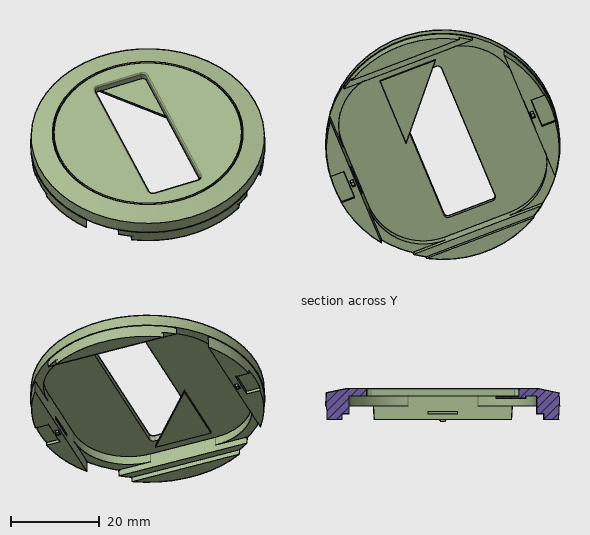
import cadquery as cq

total_height = 7.5
shoulder_height = 6.5
skirt_top = 3.5
skirt_bottom = 0.5
relief_top = 1.75
pocket_ceiling = 5.8

rim_radius = 26.5
shoulder_radius = 26.35
skirt_top_radius = 26.35
skirt_bottom_radius = 26.25
crown_radius = 21.55

groove_width = 0.4
groove_depth = 0.2

pocket_size = 42.3
relief_size = 45.45

cavity_corner = 13.25

window_length = 34.35
window_width = 12.4
window_corner = 0.95
window_edge_fillet = 0.3

gusset_side_y = -4.4
gusset_back_x = -4.7
gusset_thickness = 0.55
gusset_overlap = 1.6

notch_length = 6.7
notch_top = 1.25
notch_back = 22.8
nub_distance = 21.9
nub_thickness = 0.75
nub_root_length = 1.6
nub_tip_length = 0.85
bead_height = 2.0
bead_radius = 0.3
bead_projection = 0.15


def block(length, width, bottom, top, center_y=0):
    """Box centred on X = 0 between two heights."""
    return (
        cq.Workplane("XY", origin=(0, center_y, bottom))
        .rect(length, width)
        .extrude(top - bottom)
    )


def lid_blank():
    """Solid of revolution: drafted skirt, drafted rim, conical crown, ring groove and flat top."""
    outline = [
        (0, skirt_bottom),
        (skirt_bottom_radius, skirt_bottom),
        (skirt_top_radius, skirt_top),
        (rim_radius, skirt_top),
        (shoulder_radius, shoulder_height),
        (crown_radius, total_height),
        (crown_radius - groove_width / 2, total_height - groove_depth),
        (crown_radius - groove_width, total_height),
        (0, total_height),
    ]
    return cq.Workplane("XZ").polyline(outline).close().revolve(360, (0, 0), (0, 1))


def underside_pocket():
    """Square pocket whose corners run out through the skirt, with the relief and the cavity above."""
    square = block(pocket_size, pocket_size, skirt_bottom, skirt_top)
    relief = block(relief_size, pocket_size, skirt_bottom, relief_top)
    cavity = block(pocket_size, pocket_size, skirt_top, pocket_ceiling).edges("|Z").fillet(cavity_corner)
    return square.union(relief).union(cavity)


def corner_gusset():
    """Triangle under the plate whose long side crosses the window corner at -X, +Y."""
    side_x = -window_length / 2
    back_y = window_width / 2
    slope = (back_y - gusset_side_y) / (gusset_back_x - side_x)
    outer_x = side_x - gusset_overlap
    outer_y = back_y + gusset_overlap
    outline = [
        (outer_x, gusset_side_y - gusset_overlap * slope),
        (gusset_back_x + gusset_overlap / slope, outer_y),
        (outer_x, outer_y),
    ]
    return (
        cq.Workplane("XY", origin=(0, 0, pocket_ceiling))
        .polyline(outline)
        .close()
        .extrude(-gusset_thickness)
    )


def leg_notch(side):
    """Slot in the bottom of a leg, open to the outside."""
    depth = rim_radius - notch_back
    return block(notch_length, depth, skirt_bottom, notch_top, side * (notch_back + depth / 2))


def leg_nub(side):
    """Tapered nub below the strip of leg left behind the notch."""
    outline = [
        (-nub_root_length / 2, skirt_bottom),
        (nub_root_length / 2, skirt_bottom),
        (nub_tip_length / 2, 0),
        (-nub_tip_length / 2, 0),
    ]
    return (
        cq.Workplane("XZ", origin=(0, side * nub_distance, 0))
        .polyline(outline)
        .close()
        .extrude(nub_thickness / 2, both=True)
    )


def leg_bead(side):
    """Rounded bead standing slightly proud of the inner face of a leg."""
    center_y = side * (pocket_size / 2 + bead_radius - bead_projection)
    return (
        cq.Workplane("YZ", origin=(0, center_y, bead_height))
        .circle(bead_radius)
        .extrude(notch_length / 2, both=True)
    )


def window_cutter():
    """Round-cornered opening through the plate."""
    opening = block(window_length, window_width, pocket_ceiling, total_height)
    return opening.edges("|Z").fillet(window_corner)


lid = lid_blank().cut(underside_pocket()).cut(window_cutter())
lid = lid.faces(">Z").edges("%LINE").fillet(window_edge_fillet)
lid = lid.union(corner_gusset())
for side in (-1, 1):
    lid = lid.cut(leg_notch(side)).union(leg_nub(side)).union(leg_bead(side))

result = lid